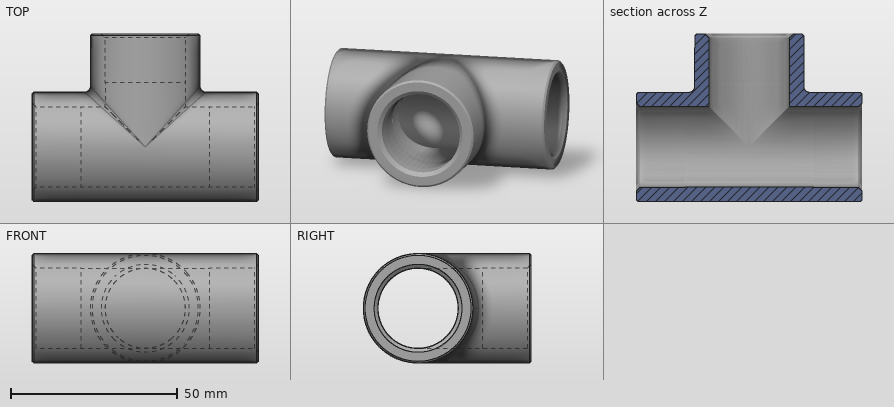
import cadquery as cq

run_length = 68.0
outer_diameter = 33.0
bore_diameter = 24.1
entry_diameter = 24.15
entry_depth = 14.6
branch_reach = 34.0
outer_chamfer = 0.55
mouth_diameter = 26.45
mouth_depth = 1.15
crotch_radius = 1.7

outer_radius = outer_diameter / 2
bore_radius = bore_diameter / 2
entry_radius = entry_diameter / 2
mouth_radius = mouth_diameter / 2


def run_cylinder(radius):
    """Cylinder along X, centred on the origin."""
    return cq.Workplane("YZ").circle(radius).extrude(run_length / 2, both=True)


def branch_cylinder(radius):
    """Cylinder along +Y, starting on the run axis."""
    return cq.Workplane("XZ").circle(radius).extrude(-branch_reach)


def bore_mouth(direction, reach):
    """Cone that widens the entry bore towards the end face at the given reach."""
    start = direction * (reach - mouth_depth)
    cone = cq.Solid.makeCone(entry_radius, mouth_radius, mouth_depth, start, direction)
    return cq.Workplane(cone)


def entry_bore(direction, reach):
    """Slightly wider bore running inwards from the end face at the given reach."""
    start = direction * (reach - entry_depth)
    return cq.Workplane(cq.Solid.makeCylinder(entry_radius, entry_depth, start, direction))


body = run_cylinder(outer_radius).union(branch_cylinder(outer_radius))
crossing_edges = body.edges("%ELLIPSE").vals()
body = body.newObject(crossing_edges).fillet(crotch_radius)
body = body.faces("<X or >X or >Y").edges().chamfer(outer_chamfer)

body = body.cut(run_cylinder(bore_radius).union(branch_cylinder(bore_radius)))

open_ends = [
    (cq.Vector(1, 0, 0), run_length / 2),
    (cq.Vector(-1, 0, 0), run_length / 2),
    (cq.Vector(0, 1, 0), branch_reach),
]
for direction, reach in open_ends:
    body = body.cut(entry_bore(direction, reach))
    body = body.cut(bore_mouth(direction, reach))

result = body